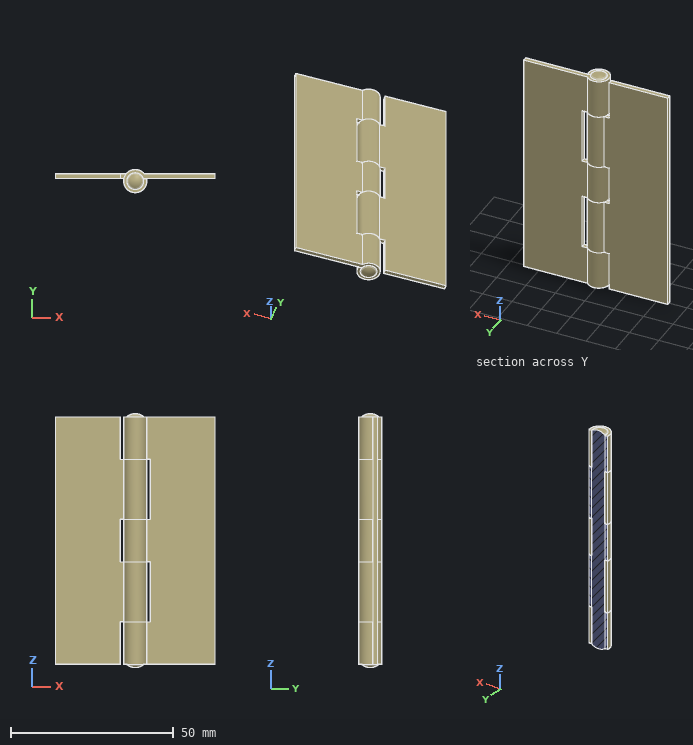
import cadquery as cq
import math

total_height = 78.0
total_width = 49.0
knuckle_diameter = 7.2

pin_radius = 2.6
head_height = 1.0
head_chamfer = 0.3

leaf_thickness = 1.5
leaf_inner_y = 0.8
knuckle_clearance = 1.0
seam_gap = 0.1
outer_knuckle_length = 13.0

knuckle_radius = knuckle_diameter / 2
dome_radius = pin_radius - head_chamfer
dome_height = head_height - head_chamfer
leaf_height = total_height - 2 * head_height
half_leaf_height = leaf_height / 2
leaf_edge_x = knuckle_radius + knuckle_clearance
leaf_outer_y = leaf_inner_y + leaf_thickness
inner_knuckle_length = (leaf_height - 3 * outer_knuckle_length) / 2
knuckle_pitch = outer_knuckle_length + inner_knuckle_length


def box(x_min, x_max, y_min, y_max, z_min, length):
    """Block between the given X and Y limits, rising from z_min."""
    return (
        cq.Workplane("XY", origin=(0, 0, z_min))
        .moveTo(x_min, y_min)
        .lineTo(x_max, y_min)
        .lineTo(x_max, y_max)
        .lineTo(x_min, y_max)
        .close()
        .extrude(length)
    )


def make_knuckle(z_min, length):
    """Rolled knuckle and the strip that ties it to a leaf on the +X side."""
    base = cq.Workplane("XY", origin=(0, 0, z_min))
    roll = base.circle(knuckle_radius).extrude(length)
    strip = box(0, leaf_edge_x, leaf_inner_y, leaf_outer_y, z_min, length)
    seam = box(0, knuckle_radius, leaf_inner_y - seam_gap, leaf_inner_y, z_min, length)
    bore = base.circle(pin_radius).extrude(length)
    return roll.union(strip).cut(seam).cut(bore)


def make_leaf(knuckle_starts, knuckle_length):
    """Leaf on the +X side with one knuckle at each starting height."""
    leaf = box(
        leaf_edge_x, total_width / 2, leaf_inner_y, leaf_outer_y, -half_leaf_height, leaf_height
    )
    for z_min in knuckle_starts:
        leaf = leaf.union(make_knuckle(z_min, knuckle_length))
    return leaf


def dome_arc_point(end):
    """Point halfway along a dome's arc; end is 1 for the top and -1 for the bottom."""
    sphere_radius = (dome_radius**2 + dome_height**2) / (2 * dome_height)
    half_angle = math.asin(dome_radius / sphere_radius) / 2
    drop = sphere_radius * (1 - math.cos(half_angle))
    return (sphere_radius * math.sin(half_angle), end * (total_height / 2 - drop))


def make_pin():
    """Round pin with a bevelled, domed head at each end."""
    dome_foot_z = total_height / 2 - dome_height
    profile = (
        cq.Workplane("XZ")
        .moveTo(0, -total_height / 2)
        .threePointArc(dome_arc_point(-1), (dome_radius, -dome_foot_z))
        .lineTo(pin_radius, -half_leaf_height)
        .lineTo(pin_radius, half_leaf_height)
        .lineTo(dome_radius, dome_foot_z)
        .threePointArc(dome_arc_point(1), (0, total_height / 2))
        .close()
    )
    return profile.revolve(360, (0, 0, 0), (0, 1, 0))


right_starts = [-half_leaf_height + i * knuckle_pitch for i in range(3)]
left_starts = [start + outer_knuckle_length for start in right_starts[:2]]

right_leaf = make_leaf(right_starts, outer_knuckle_length)
left_leaf = make_leaf(left_starts, inner_knuckle_length).mirror("YZ")
pin = make_pin()

result = cq.Compound.makeCompound([right_leaf.val(), left_leaf.val(), pin.val()])